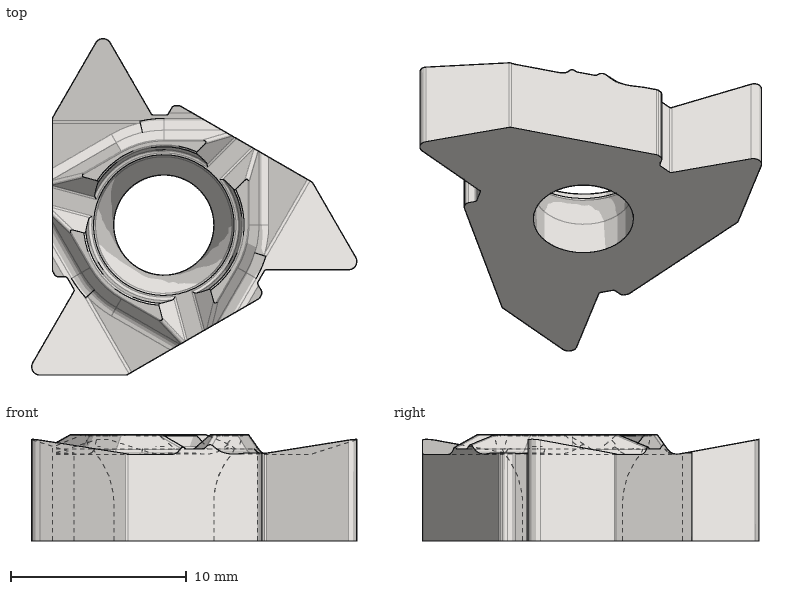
import cadquery as cq
import math

TEETH = 3
TURN = 360 / TEETH
REACH = 13.42
HEIGHT_MARGIN = 0.02
TOP_HEIGHT = 6.05

SIDE_DISTANCE = 6.35
LONG_FLANK_DISTANCE = 8.55
SHORT_FLANK_DISTANCE = 2.55
NOTCH_DISTANCE = 6.27
HEEL_DISTANCE = 2.95
HEEL_TIP_DISTANCE = 6.8
TIP_RADIUS = 0.48
SHOULDER_RADIUS = 0.29
NOTCH_RADIUS = 0.15
HEEL_RADIUS = 0.29

FLOOR_HEIGHT = 4.93
CREASE_DISTANCE = 5.87
CREASE_RADIUS = 0.95
CREASE_MARGIN = 0.2
RAKE_ANGLE = 10.4
HEEL_HEIGHT = 5.02
HEEL_START_X = -0.2

RIM_TOP_REACH = 4.83
RIM_WALL_ANGLE = 55.0
RIM_FOOT_RADIUS = 0.67
RIM_RAKED_SWEEP = 13.0
RIM_EDGE_RADIUS = 0.08
RIM_CORNER_BISECTOR = 45.0

HOLE_DIAMETER = 5.7
BOWL_START_HEIGHT = 2.19
BOWL_RADIUS = 3.9
BOWL_HEIGHT = 4.98
LIP_RADIUS = 4.0
LEDGE_HEIGHT = 5.23
LEDGE_RADIUS = 4.25
RECESS_RADIUS = 4.49
RECESS_CORNER_RADIUS = 0.2
RECESS_EDGE_RADIUS = 0.12

SLOT_ANGLE = 165.0
SLOT_SHIFT = -0.08
SLOT_FLOOR_WIDTH = 1.11
SLOT_TOP_WIDTH = 3.07
SLOT_CORNER_RADIUS = 0.2
SLOT_EDGE_RADIUS = 0.2


def around(body):
    """Repeat a body once per tooth."""
    copies = body
    for index in range(1, TEETH):
        copies = copies.union(body.rotate((0, 0, 0), (0, 0, 1), index * TURN))
    return copies


def crossing(first, second):
    """Meeting point of two lines, each given as (distance from the axis, direction of its normal)."""
    (distance_a, angle_a), (distance_b, angle_b) = first, second
    a, b = math.radians(angle_a), math.radians(angle_b)
    spread = math.sin(b - a)
    x = (distance_a * math.sin(b) - distance_b * math.sin(a)) / spread
    y = (distance_b * math.cos(a) - distance_a * math.cos(b)) / spread
    return x, y


def outline_prism(height):
    """Full-height body with the outside contour of the insert."""
    corners = []
    radii = []
    for index in range(TEETH):
        turn = -index * TURN
        sides = [
            (HEEL_DISTANCE, 270 + turn),
            (HEEL_TIP_DISTANCE, 210 + turn),
            (SIDE_DISTANCE, 180 + turn),
            (LONG_FLANK_DISTANCE, 150 + turn),
            (SHORT_FLANK_DISTANCE, 30 + turn),
            (NOTCH_DISTANCE, 90 + turn),
            (HEEL_DISTANCE, 270 + turn - TURN),
        ]
        corners += [crossing(sides[i], sides[i + 1]) for i in range(len(sides) - 1)]
        radii += [HEEL_RADIUS, HEEL_RADIUS, SHOULDER_RADIUS, TIP_RADIUS, NOTCH_RADIUS, NOTCH_RADIUS]
    prism = cq.Workplane("XY").polyline(corners).close().extrude(height)
    for radius in sorted(set(radii)):
        edges = [
            prism.edges(cq.selectors.NearestToPointSelector((x, y, height / 2))).val()
            for (x, y), corner_radius in zip(corners, radii)
            if corner_radius == radius
        ]
        prism = prism.newObject(edges).fillet(radius)
    return prism


def rising_face(start_x, end_x, cap_height):
    """Bar whose top turns up from the floor along +Y at the rake angle, cut level at cap_height."""
    rise = (REACH - CREASE_DISTANCE) * math.tan(math.radians(RAKE_ANGLE))
    profile = [
        (0, 0),
        (0, FLOOR_HEIGHT),
        (CREASE_DISTANCE, FLOOR_HEIGHT),
        (REACH, FLOOR_HEIGHT + rise),
        (REACH, 0),
    ]
    bar = (
        cq.Workplane("YZ", origin=(start_x, 0, 0))
        .polyline(profile).close().extrude(end_x - start_x)
    )
    crease = cq.selectors.NearestToPointSelector(
        ((start_x + end_x) / 2, CREASE_DISTANCE, FLOOR_HEIGHT)
    )
    bar = bar.edges(crease).fillet(CREASE_RADIUS)
    level = cq.Workplane("XY").box(4 * REACH, 4 * REACH, cap_height, centered=(True, True, False))
    beyond_crease = (
        cq.Workplane("XY")
        .box(4 * REACH, REACH, REACH, centered=(True, False, False))
        .translate((0, CREASE_DISTANCE - CREASE_MARGIN, 0))
    )
    return bar.intersect(level).intersect(beyond_crease)


def rim_profile(plane, toe_angle=0.0):
    """Half section of the rim; the foot runs into the floor, or into a face rising at toe_angle."""
    wall = math.radians(RIM_WALL_ANGLE)
    toe = math.radians(toe_angle)

    edge = RIM_EDGE_RADIUS * math.tan(wall / 2)
    edge_start = (RIM_TOP_REACH - edge, TOP_HEIGHT)
    edge_mid = (
        edge_start[0] + RIM_EDGE_RADIUS * math.sin(wall / 2),
        TOP_HEIGHT - RIM_EDGE_RADIUS * (1 - math.cos(wall / 2)),
    )
    edge_end = (RIM_TOP_REACH + edge * math.cos(wall), TOP_HEIGHT - edge * math.sin(wall))

    wall_at_crease = TOP_HEIGHT - (CREASE_DISTANCE - RIM_TOP_REACH) * math.tan(wall)
    inset = (FLOOR_HEIGHT - wall_at_crease) / (math.tan(wall) + math.tan(toe))
    corner = (CREASE_DISTANCE - inset, FLOOR_HEIGHT - inset * math.tan(toe))
    foot = RIM_FOOT_RADIUS * math.tan((wall + toe) / 2)
    foot_start = (corner[0] - foot * math.cos(wall), corner[1] + foot * math.sin(wall))
    foot_end = (corner[0] + foot * math.cos(toe), corner[1] + foot * math.sin(toe))
    center = (
        foot_end[0] - RIM_FOOT_RADIUS * math.sin(toe),
        foot_end[1] + RIM_FOOT_RADIUS * math.cos(toe),
    )
    middle = (wall - toe) / 2
    foot_mid = (
        center[0] - RIM_FOOT_RADIUS * math.sin(middle),
        center[1] - RIM_FOOT_RADIUS * math.cos(middle),
    )
    return (
        cq.Workplane(plane)
        .moveTo(0, 0)
        .lineTo(0, TOP_HEIGHT)
        .lineTo(*edge_start)
        .threePointArc(edge_mid, edge_end)
        .lineTo(*foot_start)
        .threePointArc(foot_mid, foot_end)
        .lineTo(foot_end[0], 0)
        .close()
    )


def rim():
    """Round rim that runs out into three square corners, one under each slot."""
    disc = rim_profile("XZ").revolve(360, (0, 0, 0), (0, 1, 0))
    floor_wall = rim_profile("XZ").extrude(-REACH)
    raked_wall = rim_profile("YZ", RAKE_ANGLE).extrude(REACH)
    raked_round = rim_profile("YZ", RAKE_ANGLE).revolve(RIM_RAKED_SWEEP, (0, 0, 0), (0, 1, 0))
    corner = floor_wall.intersect(raked_wall).union(raked_round)
    corner = corner.rotate((0, 0, 0), (0, 0, 1), SLOT_ANGLE - RIM_CORNER_BISECTOR)
    return disc.union(around(corner))


def hole():
    """Screw hole with a bowl-shaped seat below a stepped recess."""
    bore = HOLE_DIAMETER / 2
    depth = BOWL_HEIGHT - BOWL_START_HEIGHT
    flare = BOWL_RADIUS - bore
    bowl_arc = (depth ** 2 + flare ** 2) / (2 * flare)
    half_sweep = math.asin(depth / bowl_arc) / 2
    bowl_mid = (
        bore + bowl_arc * (1 - math.cos(half_sweep)),
        BOWL_START_HEIGHT + bowl_arc * math.sin(half_sweep),
    )

    lean = math.atan((RECESS_RADIUS - LEDGE_RADIUS) / (TOP_HEIGHT - LEDGE_HEIGHT))
    half_turn = (math.pi / 2 - lean) / 2
    setback = RECESS_EDGE_RADIUS * math.tan(half_turn)
    edge_start = (RECESS_RADIUS - setback * math.sin(lean), TOP_HEIGHT - setback * math.cos(lean))
    edge_end = (RECESS_RADIUS + setback, TOP_HEIGHT)
    edge_mid = (
        edge_end[0] - RECESS_EDGE_RADIUS * math.sin(half_turn),
        TOP_HEIGHT - RECESS_EDGE_RADIUS * (1 - math.cos(half_turn)),
    )

    seat = (
        cq.Workplane("XZ")
        .moveTo(0, 0)
        .lineTo(bore, 0)
        .lineTo(bore, BOWL_START_HEIGHT)
        .threePointArc(bowl_mid, (BOWL_RADIUS, BOWL_HEIGHT))
        .lineTo(LIP_RADIUS, LEDGE_HEIGHT)
        .lineTo(LEDGE_RADIUS, LEDGE_HEIGHT)
        .lineTo(*edge_start)
        .threePointArc(edge_mid, edge_end)
        .lineTo(0, TOP_HEIGHT)
        .close()
        .revolve(360, (0, 0, 0), (0, 1, 0))
    )
    ledge_corner = cq.selectors.BoxSelector(
        (-REACH, -REACH, LEDGE_HEIGHT - HEIGHT_MARGIN), (REACH, REACH, LEDGE_HEIGHT + HEIGHT_MARGIN)
    )
    outermost = cq.selectors.RadiusNthSelector(-1)
    return seat.edges("%CIRCLE").edges(ledge_corner).edges(outermost).fillet(RECESS_CORNER_RADIUS)


def slot_section():
    """Slot cross-section: flat floor and sloping walls."""
    half_floor, half_top = SLOT_FLOOR_WIDTH / 2, SLOT_TOP_WIDTH / 2
    profile = [
        (-half_floor - SLOT_SHIFT, LEDGE_HEIGHT),
        (half_floor - SLOT_SHIFT, LEDGE_HEIGHT),
        (half_top - SLOT_SHIFT, TOP_HEIGHT),
        (-half_top - SLOT_SHIFT, TOP_HEIGHT),
    ]
    return cq.Workplane("YZ").polyline(profile).close().extrude(REACH)


def slot_edge_trim():
    """Slivers that round the two edges where the slot walls meet the rim walls."""
    slope = math.tan(math.radians(RIM_WALL_ANGLE))
    base_reach = RIM_TOP_REACH + (TOP_HEIGHT - LEDGE_HEIGHT) / slope
    profile = [
        (0, LEDGE_HEIGHT),
        (0, TOP_HEIGHT),
        (RIM_TOP_REACH, TOP_HEIGHT),
        (base_reach, LEDGE_HEIGHT),
    ]
    wall_x = cq.Workplane("XZ").polyline(profile).close().extrude(-REACH)
    wall_y = cq.Workplane("YZ").polyline(profile).close().extrude(REACH)
    sharp = wall_x.intersect(wall_y).rotate((0, 0, 0), (0, 0, 1), -RIM_CORNER_BISECTOR)
    sharp = sharp.cut(slot_section())

    mid_reach = math.sqrt(2) * (RIM_TOP_REACH + base_reach) / 2
    half_width = (SLOT_FLOOR_WIDTH + SLOT_TOP_WIDTH) / 4
    edges = []
    for side in (-1, 1):
        across = side * half_width - SLOT_SHIFT
        middle = (mid_reach - abs(across), across, (LEDGE_HEIGHT + TOP_HEIGHT) / 2)
        edges.append(sharp.edges(cq.selectors.NearestToPointSelector(middle)).val())
    return sharp.cut(sharp.newObject(edges).fillet(SLOT_EDGE_RADIUS))


def slot():
    """Slot running out from the axis, with rounded floor corners and rounded outer edges."""
    channel = slot_section().edges("|X").edges("<Z").fillet(SLOT_CORNER_RADIUS)
    return channel.union(slot_edge_trim()).rotate((0, 0, 0), (0, 0, 1), SLOT_ANGLE)


envelope = outline_prism(TOP_HEIGHT)
floor = cq.Workplane("XY").circle(REACH).extrude(FLOOR_HEIGHT)
tooth_face = rising_face(-REACH, HEEL_START_X, TOP_HEIGHT)
heel_face = rising_face(HEEL_START_X, REACH, HEEL_HEIGHT)
rises = around(tooth_face.union(heel_face).intersect(envelope))
result = floor.union(rim()).intersect(envelope).union(rises).cut(hole()).cut(around(slot()))